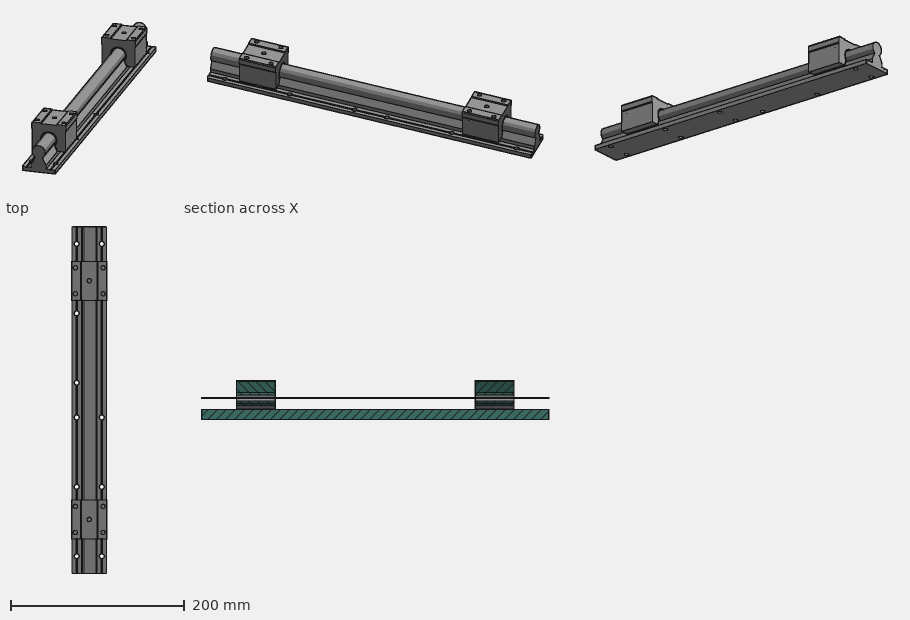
import cadquery as cq
import math

rail_length = 400.0
shaft_radius = 8.0
shaft_height = 25.0
neck_half_width = 4.5
pedestal_half_width = 9.0
pedestal_shoulder_height = 9.7
base_half_width = 20.0
base_thickness = 5.0
corner_chamfer = 1.0

groove_offset = 14.5
groove_width = 1.4
groove_depth = 1.0
mount_hole_diameter = 5.5
left_hole_places = [-180.0, -100.0, -20.0, 20.0, 100.0, 180.0]
right_hole_places = [-180.0, -100.0, -20.0, 180.0]

carriage_length = 45.0
carriage_end_margin = 40.0
carriage_places = [
    side * (rail_length / 2 - carriage_end_margin - carriage_length / 2) for side in (-1, 1)
]
housing_top = 45.0
housing_bottom = 12.0
housing_half_width = 20.5
housing_body_half_width = 20.0
pad_lower_edge = 37.5
pad_taper_height = 1.2
top_chamfer_width = 0.9
top_chamfer_height = 1.3
recess_depth = 1.0
recess_top_half_width = 10.0
recess_floor_half_width = 9.0

liner_bore_radius = 8.6
liner_outer_radius = 9.8
liner_neck_half_width = 6.6
liner_mouth_half_width = 9.7
throat_half_width = 7.6
mouth_half_width = 10.6

screw_hole_diameter = 5.0
screw_hole_depth = 12.0
screw_spacing_x = 32.0
screw_spacing_y = 30.0
grease_hole_diameter = 5.0


def extrude_along_y(profile, length, center_y):
    """Extrude an XZ profile symmetrically about the given Y position."""
    return profile.extrude(length / 2, both=True).translate((0, center_y, 0))


def height_under_axis(radius, x):
    """Height of the lower half of a circle around the shaft axis, at distance x from the axis."""
    return shaft_height - math.sqrt(radius**2 - x**2)


def mirrored(points):
    """The same points on the -X side, in reverse order."""
    return [(-x, z) for x, z in reversed(points)]


def make_rail():
    neck_height = height_under_axis(shaft_radius, neck_half_width)
    right_edge = [
        (base_half_width, 0),
        (base_half_width, base_thickness),
        (groove_offset + groove_width / 2, base_thickness),
        (groove_offset, base_thickness - groove_depth),
        (groove_offset - groove_width / 2, base_thickness),
        (pedestal_half_width, base_thickness),
        (pedestal_half_width, pedestal_shoulder_height),
        (neck_half_width, neck_height),
    ]
    left_edge = mirrored(right_edge)
    profile = (
        cq.Workplane("XZ")
        .polyline(right_edge)
        .threePointArc((0, shaft_height + shaft_radius), left_edge[0])
    )
    for point in left_edge[1:]:
        profile = profile.lineTo(*point)
    rail = extrude_along_y(profile.close(), rail_length, 0)
    rail = rail.edges("|Z and (<X or >X)").chamfer(corner_chamfer)

    hole_centers = [(-groove_offset, y) for y in left_hole_places]
    hole_centers += [(groove_offset, y) for y in right_hole_places]
    holes = cq.Workplane("XY").pushPoints(hole_centers)
    return rail.cut(holes.circle(mount_hole_diameter / 2).extrude(base_thickness))


def make_housing(center_y):
    throat_height = height_under_axis(liner_outer_radius, throat_half_width)
    right_edge = [
        (throat_half_width, throat_height),
        (mouth_half_width, housing_bottom),
        (housing_body_half_width, housing_bottom),
        (housing_body_half_width, pad_lower_edge - pad_taper_height),
        (housing_half_width, pad_lower_edge),
        (housing_half_width, housing_top - top_chamfer_height),
        (housing_half_width - top_chamfer_width, housing_top),
        (recess_top_half_width, housing_top),
        (recess_floor_half_width, housing_top - recess_depth),
    ]
    profile = (
        cq.Workplane("XZ")
        .polyline(right_edge + mirrored(right_edge))
        .threePointArc((0, shaft_height + liner_outer_radius), right_edge[0])
        .close()
    )
    housing = extrude_along_y(profile, carriage_length, center_y)

    screw_holes = (
        cq.Workplane("XY", origin=(0, center_y, housing_top))
        .rarray(screw_spacing_x, screw_spacing_y, 2, 2)
        .circle(screw_hole_diameter / 2)
        .extrude(-screw_hole_depth)
    )
    grease_hole = (
        cq.Workplane("XY", origin=(0, center_y, housing_top))
        .circle(grease_hole_diameter / 2)
        .extrude(shaft_height - housing_top)
    )
    return housing.cut(screw_holes).cut(grease_hole)


def make_liner(center_y):
    throat = (throat_half_width, height_under_axis(liner_outer_radius, throat_half_width))
    outer_tip = (mouth_half_width, housing_bottom)
    inner_tip = (liner_mouth_half_width, housing_bottom)
    neck = (liner_neck_half_width, height_under_axis(liner_bore_radius, liner_neck_half_width))
    right_lip = [throat, outer_tip, inner_tip, neck]
    left_neck, left_inner_tip, left_outer_tip, left_throat = mirrored(right_lip)
    profile = (
        cq.Workplane("XZ")
        .polyline(right_lip)
        .threePointArc((0, shaft_height + liner_bore_radius), left_neck)
        .lineTo(*left_inner_tip)
        .lineTo(*left_outer_tip)
        .lineTo(*left_throat)
        .threePointArc((0, shaft_height + liner_outer_radius), throat)
        .close()
    )
    return extrude_along_y(profile, carriage_length, center_y)


rail = make_rail()
housings = [make_housing(y) for y in carriage_places]
liners = [make_liner(y) for y in carriage_places]

result = cq.Compound.makeCompound(
    [rail.val()] + [housing.val() for housing in housings] + [liner.val() for liner in liners]
)